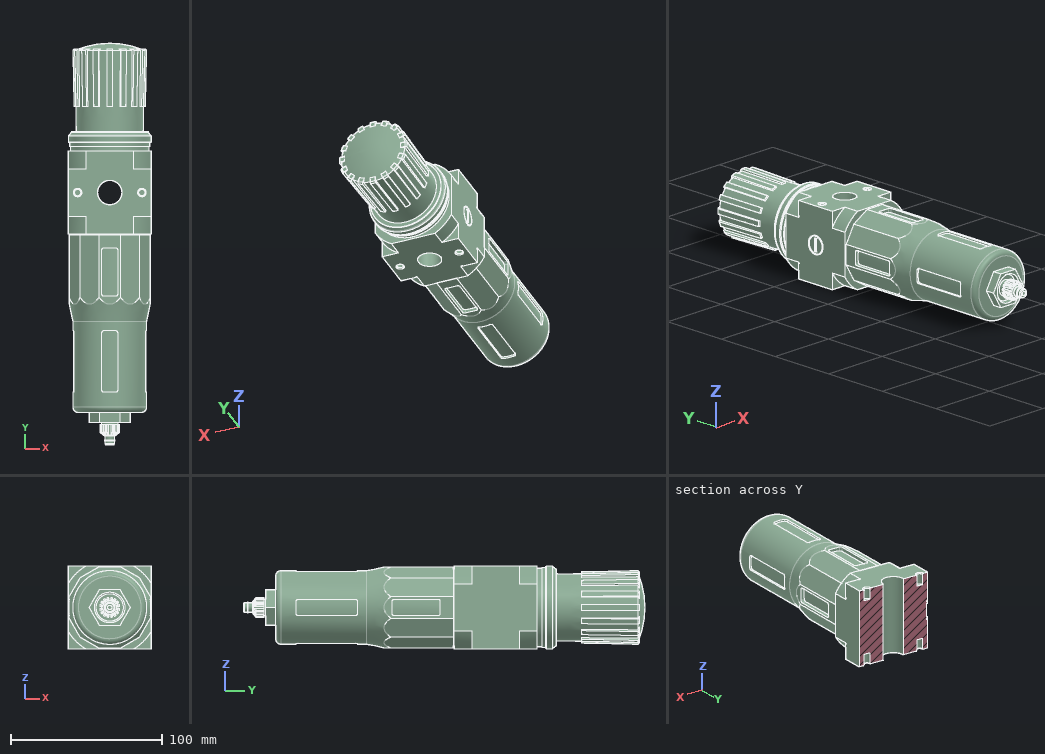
import cadquery as cq
import math


BLOCK_SIZE = 55.0
BLOCK_HALF = BLOCK_SIZE / 2
CROSS_HALF_WIDTH = 15.7
CORNER_RADIUS = math.hypot(BLOCK_HALF, CROSS_HALF_WIDTH)
PORT_DIAMETER = 16.0
SCREW_HOLE_OFFSET = 21.3
SCREW_HOLE_DIAMETER = 4.3
SCREW_HOLE_RIM_DIAMETER = 5.5
SCREW_HOLE_DEPTH = 8.0
GAUGE_OUTER_DIAMETER = 13.3
GAUGE_INNER_DIAMETER = 12.5
GAUGE_SLOT_WIDTH = 1.9
GAUGE_SLOT_LENGTH = 9.3
GAUGE_DEPTH = 0.8

COLLAR_LOWER_RADIUS = 26.0
COLLAR_STEP_RADIUS = 26.5
COLLAR_RING_RADIUS = BLOCK_HALF
COLLAR_RIM_RADIUS = 25.5
COLLAR_STEP_BOTTOM = 30.5
COLLAR_RING_BOTTOM = 33.0
COLLAR_RING_TOP = 38.0
COLLAR_RIM_BOTTOM = 39.9
COLLAR_TOP = 40.5
COLLAR_RING_CHAMFER = 0.5

KNOB_TOP = 98.8
KNOB_SKIRT_RADIUS = 22.3
KNOB_EDGE_RADIUS = 22.9
KNOB_EDGE = 94.0
DOME_HEIGHT = KNOB_TOP - KNOB_EDGE
DOME_RADIUS = (KNOB_EDGE_RADIUS**2 + DOME_HEIGHT**2) / (2 * DOME_HEIGHT)
RIB_COUNT = 16
RIB_WIDTH = 3.7
RIB_TOP = 95.0
RIB_BOTTOM = 56.9
RIB_TOP_RADIUS = 24.5
RIB_CHAMFER = 1.0
RIB_BOTTOM_RADIUS = 23.6
RIB_ROOT_RADIUS = 18.5

NECK_RADIUS = 25.2
FACET_COUNT = 12
FACET_APOTHEM = 26.8
FACET_TOP = -BLOCK_HALF - 0.5
CONE_TOP = -69.3
CONE_BOTTOM = -85.3
BOWL_RADIUS = 24.5
BOWL_BOTTOM = -145.5
BOWL_FILLET = 3.7
FACET_CIRCUMRADIUS = FACET_APOTHEM / math.cos(math.pi / FACET_COUNT)
WINDOW_WIDTH = 10.5
WINDOW_CORNER_RADIUS = 1.3
UPPER_WINDOW_TOP = -36.7
UPPER_WINDOW_BOTTOM = -68.5
UPPER_WINDOW_FLOOR_RADIUS = 24.5
LOWER_WINDOW_TOP = -91.5
LOWER_WINDOW_BOTTOM = -132.0
LOWER_WINDOW_FLOOR_RADIUS = 23.0
HEX_SIDES = 6
HEX_ACROSS_FLATS = 23.6
HEX_BOTTOM = -152.2
HEX_RECESS_DEPTH = 2.7
HEX_RECESS_RIM_DIAMETER = 20.2
HEX_RECESS_FLOOR_DIAMETER = 18.0

DRAIN_TOP = HEX_BOTTOM + HEX_RECESS_DEPTH
DRAIN_NECK_DIAMETER = 11.2
GRIP_DIAMETER = 13.3
GRIP_TOP = -153.3
GRIP_TAPER_TOP = -158.5
GRIP_BOTTOM = -161.0
GRIP_END_DIAMETER = 7.2
SPIGOT_DIAMETER = 6.5
BARB_DIAMETER = 7.2
BARB_TOP = -163.7
BARB_BOTTOM = -164.2
TIP_DIAMETER = 5.5
TIP_CHAMFER_TOP = -166.0
TIP_BOTTOM = KNOB_TOP - 265.7
BORE_DIAMETER = 3.0
BORE_DEPTH = 5.3
GRIP_GROOVE_COUNT = 16
GRIP_GROOVE_WIDTH = 1.3
GRIP_ROOT_DIAMETER = 9.0


def cylinder(radius, top, bottom):
    """Solid cylinder on the Y axis."""
    return cq.Workplane("XZ", origin=(0, top, 0)).circle(radius).extrude(top - bottom)


def revolved(points):
    """Solid of revolution about Y from the (radius, y) points of its half section."""
    return cq.Workplane("XY").polyline(points).close().revolve(360, (0, 0, 0), (0, 1, 0))


def polygon_prism(sides, apothem, top, bottom):
    """Regular prism along Y with one flat facing +Z."""
    circumdiameter = 2 * apothem / math.cos(math.pi / sides)
    turn = 90 + 180 / sides
    prism = cq.Workplane("XZ", origin=(0, top, 0)).polygon(sides, circumdiameter).extrude(top - bottom)
    return prism.rotate((0, 0, 0), (0, 1, 0), turn)


def make_block():
    """Cube whose eight corners are rounded about the Y axis outside the cross-shaped lands."""
    cube = cq.Workplane("XY").box(BLOCK_SIZE, BLOCK_SIZE, BLOCK_SIZE)
    middle_band = cq.Workplane("XY").box(BLOCK_SIZE, 2 * CROSS_HALF_WIDTH, BLOCK_SIZE)
    rounded = cube.intersect(cylinder(CORNER_RADIUS, BLOCK_HALF, -BLOCK_HALF))
    return rounded.union(middle_band)


def make_collar():
    """Stack of rings that carries the knob."""
    return revolved([
        (0, BLOCK_HALF),
        (COLLAR_LOWER_RADIUS, BLOCK_HALF),
        (COLLAR_LOWER_RADIUS, COLLAR_STEP_BOTTOM),
        (COLLAR_STEP_RADIUS, COLLAR_STEP_BOTTOM),
        (COLLAR_STEP_RADIUS, COLLAR_RING_BOTTOM),
        (COLLAR_RING_RADIUS - COLLAR_RING_CHAMFER, COLLAR_RING_BOTTOM),
        (COLLAR_RING_RADIUS, COLLAR_RING_BOTTOM + COLLAR_RING_CHAMFER),
        (COLLAR_RING_RADIUS, COLLAR_RING_TOP - COLLAR_RING_CHAMFER),
        (COLLAR_RING_RADIUS - COLLAR_RING_CHAMFER, COLLAR_RING_TOP),
        (COLLAR_RIM_RADIUS, COLLAR_RIM_BOTTOM),
        (COLLAR_RIM_RADIUS, COLLAR_TOP),
        (0, COLLAR_TOP),
    ])


def cut_screw_holes(body):
    """Countersunk blind holes, two in the +Z face and two in the -Z face."""
    countersink = (SCREW_HOLE_RIM_DIAMETER - SCREW_HOLE_DIAMETER) / 2
    centres = [(-SCREW_HOLE_OFFSET, 0), (SCREW_HOLE_OFFSET, 0)]
    for direction in (1, -1):
        face = cq.Plane(origin=(0, 0, direction * BLOCK_HALF), xDir=(1, 0, 0), normal=(0, 0, direction))
        holes = cq.Workplane(face).pushPoints(centres).circle(SCREW_HOLE_DIAMETER / 2)
        holes = holes.extrude(-SCREW_HOLE_DEPTH)
        rims = cq.Workplane(face).pushPoints(centres).circle(SCREW_HOLE_RIM_DIAMETER / 2)
        rims = rims.extrude(-countersink, taper=45)
        body = body.cut(holes).cut(rims)
    return body


def cut_gauge_plug(body):
    """Ring groove and screwdriver slot in the -X face."""
    face = cq.Workplane("YZ", origin=(-BLOCK_HALF, 0, 0))
    groove = face.circle(GAUGE_OUTER_DIAMETER / 2).circle(GAUGE_INNER_DIAMETER / 2).extrude(GAUGE_DEPTH)
    slot = face.rect(GAUGE_SLOT_WIDTH, GAUGE_SLOT_LENGTH).extrude(GAUGE_DEPTH)
    return body.cut(groove).cut(slot)


def make_housing():
    """Block and collar with the through port, the screw holes and the gauge plug outline."""
    body = make_block().union(make_collar())
    port = cq.Workplane("XY").circle(PORT_DIAMETER / 2).extrude(BLOCK_SIZE, both=True)
    return cut_gauge_plug(cut_screw_holes(body.cut(port)))


def make_knob():
    """Domed turning handle that stands on the collar."""
    dome_middle_radius = KNOB_EDGE_RADIUS / 2
    dome_middle = KNOB_TOP - DOME_RADIUS + math.sqrt(DOME_RADIUS**2 - dome_middle_radius**2)
    knob = (
        cq.Workplane("XY")
        .moveTo(0, COLLAR_TOP)
        .lineTo(KNOB_SKIRT_RADIUS, COLLAR_TOP)
        .lineTo(KNOB_EDGE_RADIUS, KNOB_EDGE)
        .threePointArc((dome_middle_radius, dome_middle), (0, KNOB_TOP))
        .close()
        .revolve(360, (0, 0, 0), (0, 1, 0))
    )
    rib_envelope = revolved([
        (RIB_ROOT_RADIUS, RIB_BOTTOM),
        (RIB_BOTTOM_RADIUS, RIB_BOTTOM),
        (RIB_TOP_RADIUS, RIB_TOP - RIB_CHAMFER),
        (RIB_TOP_RADIUS - RIB_CHAMFER, RIB_TOP),
        (RIB_ROOT_RADIUS, RIB_TOP),
    ])
    rib_length = RIB_TOP - RIB_BOTTOM
    bar = cq.Workplane("XY").box(RIB_TOP_RADIUS * 2, rib_length, RIB_WIDTH, centered=(False, False, True))
    bar = bar.translate((0, RIB_BOTTOM, 0))
    rib = bar.intersect(rib_envelope)
    for index in range(RIB_COUNT):
        knob = knob.union(rib.rotate((0, 0, 0), (0, 1, 0), index * 360 / RIB_COUNT))
    return knob


def make_window_cutter(top, bottom, floor_radius):
    """Rounded slot pointing to +Z that stops at the cylindrical window floor."""
    length = top - bottom
    slot = cq.Workplane("XY").box(WINDOW_WIDTH, length, FACET_CIRCUMRADIUS, centered=(True, False, False))
    slot = slot.edges("|Z").fillet(WINDOW_CORNER_RADIUS).translate((0, bottom, 0))
    return slot.cut(cylinder(floor_radius, top, bottom))


def make_bowl():
    """Bowl hanging below the block, with four windows at each of two levels."""
    envelope = revolved([
        (0, FACET_TOP),
        (FACET_CIRCUMRADIUS, FACET_TOP),
        (FACET_CIRCUMRADIUS, CONE_TOP),
        (BOWL_RADIUS, CONE_BOTTOM),
        (0, CONE_BOTTOM),
    ])
    bowl = polygon_prism(FACET_COUNT, FACET_APOTHEM, FACET_TOP, CONE_BOTTOM).intersect(envelope)
    barrel = cylinder(BOWL_RADIUS, CONE_BOTTOM, BOWL_BOTTOM).faces("<Y").edges().fillet(BOWL_FILLET)
    neck = cylinder(NECK_RADIUS, -BLOCK_HALF, FACET_TOP)
    bowl = bowl.union(barrel).union(neck)
    window_cutters = [
        make_window_cutter(UPPER_WINDOW_TOP, UPPER_WINDOW_BOTTOM, UPPER_WINDOW_FLOOR_RADIUS),
        make_window_cutter(LOWER_WINDOW_TOP, LOWER_WINDOW_BOTTOM, LOWER_WINDOW_FLOOR_RADIUS),
    ]
    for cutter in window_cutters:
        for angle in (0, 90, 180, 270):
            bowl = bowl.cut(cutter.rotate((0, 0, 0), (0, 1, 0), angle))
    bowl = bowl.union(polygon_prism(HEX_SIDES, HEX_ACROSS_FLATS / 2, BOWL_BOTTOM, HEX_BOTTOM))
    recess = revolved([
        (0, HEX_BOTTOM),
        (HEX_RECESS_RIM_DIAMETER / 2, HEX_BOTTOM),
        (HEX_RECESS_FLOOR_DIAMETER / 2, DRAIN_TOP),
        (0, DRAIN_TOP),
    ])
    return bowl.cut(recess)


def make_drain_valve():
    """Drain valve with a splined grip, a barbed spigot and a blind bore."""
    valve = revolved([
        (0, DRAIN_TOP),
        (DRAIN_NECK_DIAMETER / 2, DRAIN_TOP),
        (DRAIN_NECK_DIAMETER / 2, GRIP_TOP),
        (GRIP_DIAMETER / 2, GRIP_TOP),
        (GRIP_DIAMETER / 2, GRIP_TAPER_TOP),
        (GRIP_END_DIAMETER / 2, GRIP_BOTTOM),
        (SPIGOT_DIAMETER / 2, GRIP_BOTTOM),
        (SPIGOT_DIAMETER / 2, BARB_TOP),
        (BARB_DIAMETER / 2, BARB_TOP),
        (BARB_DIAMETER / 2, BARB_BOTTOM),
        (SPIGOT_DIAMETER / 2, BARB_BOTTOM),
        (SPIGOT_DIAMETER / 2, TIP_CHAMFER_TOP),
        (TIP_DIAMETER / 2, TIP_BOTTOM),
        (0, TIP_BOTTOM),
    ])
    valve = valve.cut(cylinder(BORE_DIAMETER / 2, TIP_BOTTOM + BORE_DEPTH, TIP_BOTTOM))
    groove = cq.Workplane("XY").box(
        GRIP_DIAMETER, GRIP_TOP - GRIP_BOTTOM, GRIP_GROOVE_WIDTH, centered=(False, False, True)
    )
    groove = groove.translate((GRIP_ROOT_DIAMETER / 2, GRIP_BOTTOM, 0))
    for index in range(GRIP_GROOVE_COUNT):
        valve = valve.cut(groove.rotate((0, 0, 0), (0, 1, 0), index * 360 / GRIP_GROOVE_COUNT))
    return valve


housing = make_housing()
knob = make_knob()
bowl = make_bowl()
drain_valve = make_drain_valve()

result = cq.Compound.makeCompound([housing.val(), knob.val(), bowl.val(), drain_valve.val()])